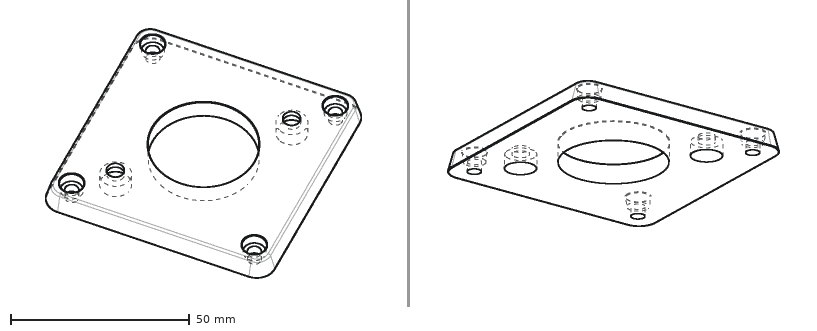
import cadquery as cq
import math

width = 69.9
height = 6.0
draft_angle = 15.0
corner_radius = 5.6
top_fillet = 0.8
edge_break_angle = 45.0
edge_break = 0.195

opening_diameter = 31.2

screw_spacing = 56.05
screw_diameter = 4.0
counterbore_diameter = 6.9
seat_diameter = 6.4
counterbore_depth = 3.0
counterbore_chamfer = 0.2

pin_circle_diameter = 53.0
pin_diameter = 5.0
pin_counterbore_diameter = 9.0
pin_land = 1.6


def round_hole(diameter, bottom, top):
    """Upright cylinder used as a cutter."""
    return cq.Workplane("XY").workplane(offset=bottom).circle(diameter / 2).extrude(top - bottom)


def tapered_hole(top_diameter, bottom_diameter, depth):
    """Cone frustum that reaches down from the top face, used as a cutter."""
    frustum = cq.Solid.makeCone(
        top_diameter / 2,
        bottom_diameter / 2,
        depth,
        pnt=cq.Vector(0, 0, height),
        dir=cq.Vector(0, 0, -1),
    )
    return cq.Workplane(frustum)


def rim_chamfer(diameter, size):
    """Cone frustum that breaks the upper edge of a hole by the given size."""
    return tapered_hole(diameter + 2 * size, diameter, size)


def tapered_plate():
    """Square plate with rounded corners whose sides lean inward toward the top."""
    widest_outline = (
        cq.Sketch()
        .rect(width, width)
        .vertices()
        .fillet(corner_radius)
    )
    body = (
        cq.Workplane("XY")
        .workplane(offset=edge_break)
        .placeSketch(widest_outline)
        .extrude(height - edge_break, taper=draft_angle)
        .faces(">Z").edges().fillet(top_fillet)
    )
    foot = (
        cq.Workplane("XY")
        .workplane(offset=edge_break)
        .placeSketch(widest_outline)
        .extrude(-edge_break, taper=edge_break_angle)
    )
    return body.union(foot)


def opening_cutter():
    return round_hole(opening_diameter, 0, height).union(rim_chamfer(opening_diameter, edge_break))


def screw_cutter():
    """Through hole with a slightly tapered counterbore from above and a chamfered rim."""
    counterbore = tapered_hole(counterbore_diameter, seat_diameter, counterbore_depth)
    return (
        round_hole(screw_diameter, 0, height)
        .union(counterbore)
        .union(rim_chamfer(counterbore_diameter, counterbore_chamfer))
    )


def pin_cutter():
    """Through hole with a wider bore from below."""
    return (
        round_hole(pin_diameter, 0, height)
        .union(round_hole(pin_counterbore_diameter, 0, height - pin_land))
    )


plate = tapered_plate().cut(opening_cutter())

screw_offset = screw_spacing / 2
for x in (-screw_offset, screw_offset):
    for y in (-screw_offset, screw_offset):
        plate = plate.cut(screw_cutter().translate((x, y, 0)))

pin_offset = pin_circle_diameter / 2 / math.sqrt(2)
for offset in (-pin_offset, pin_offset):
    plate = plate.cut(pin_cutter().translate((offset, offset, 0)))

result = plate